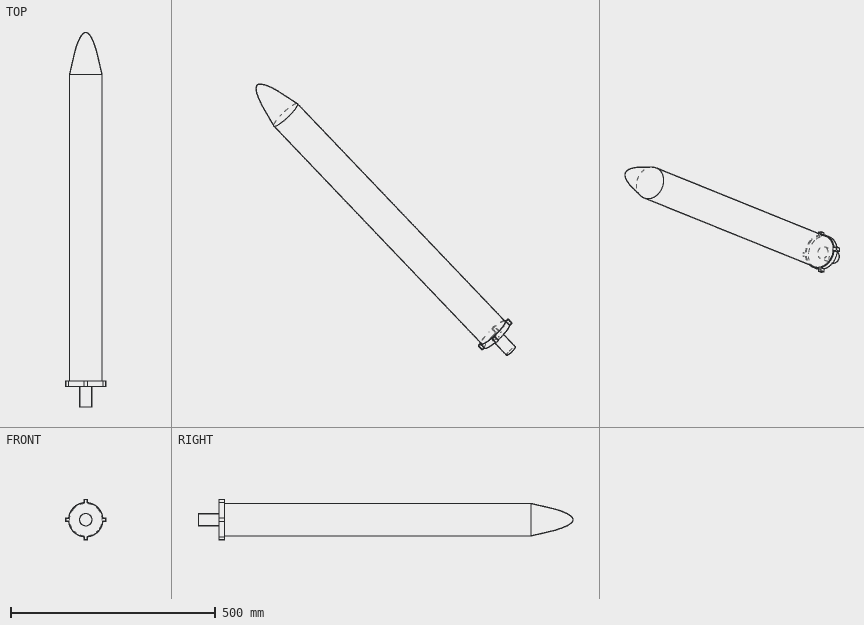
import cadquery as cq

total_length = 917.0
shaft_length = 50.0
collar_length = 14.0
tube_length = 750.0
nose_length = total_length - shaft_length - collar_length - tube_length

shaft_diameter = 30.0
collar_diameter = 84.0
tube_diameter = 80.0
nose_diameter = tube_diameter

lug_count = 4
lug_span = 99.0
lug_width = 8.0

shaft_start = 0.0
collar_start = shaft_start + shaft_length
tube_start = collar_start + collar_length
nose_start = tube_start + tube_length
nose_tip = nose_start + nose_length


def cylinder_along_y(diameter, start, length):
    """Solid cylinder centred on the Y axis."""
    plane = cq.Workplane("XZ", origin=(0, start, 0))
    return plane.circle(diameter / 2).extrude(-length)


def make_shaft():
    return cylinder_along_y(shaft_diameter, shaft_start, shaft_length)


def make_collar():
    """Disc with evenly spaced radial lugs of its own thickness."""
    collar = cylinder_along_y(collar_diameter, collar_start, collar_length)
    lug = cq.Workplane("XY").box(
        lug_span / 2, collar_length, lug_width, centered=(False, False, True)
    ).translate((0, collar_start, 0))
    for index in range(lug_count):
        angle = index * 360 / lug_count
        collar = collar.union(lug.rotate((0, 0, 0), (0, 1, 0), angle))
    return collar


def make_tube():
    return cylinder_along_y(tube_diameter, tube_start, tube_length)


def make_nose():
    """Paraboloid of revolution with its rounded tip on the Y axis."""
    radius = nose_diameter / 2
    parabola = [(radius, nose_start), (radius / 2, nose_tip), (0, nose_tip)]
    profile = cq.Workplane("XY").moveTo(0, nose_start).lineTo(*parabola[0]).bezier(parabola).close()
    return profile.revolve(360, (0, 0, 0), (0, 1, 0))


shaft = make_shaft()
collar = make_collar()
tube = make_tube()
nose = make_nose()

result = cq.Compound.makeCompound([shaft.val(), collar.val(), tube.val(), nose.val()])